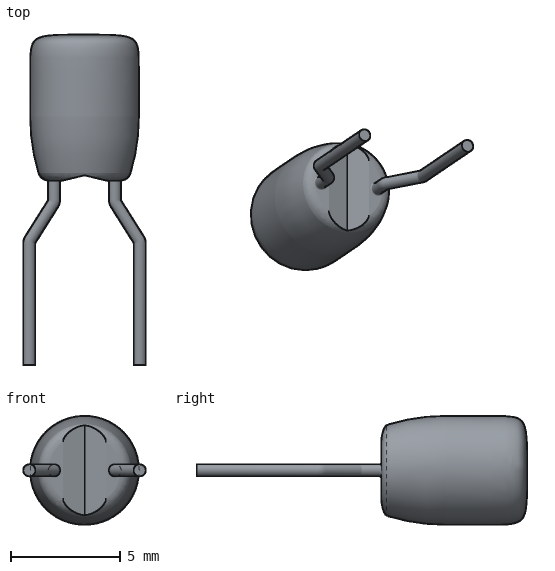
import cadquery as cq
import math


TOTAL_LENGTH = 15.16

BODY_LENGTH = 6.7
BODY_RADIUS = 2.5
STRAIGHT_START = 2.94
STRAIGHT_END = 5.08
BASE_RADIUS = 2.0
BASE_ROUNDING = 0.5

GROOVE_WIDTH = 1.97
GROOVE_DEPTH = 0.25

LEAD_DIAMETER = 0.56
ROOT_SPACING = 2.79
TIP_SPACING = 5.06
FIRST_BEND_Y = -0.9
SECOND_BEND_Y = -2.87
BEND_RADIUS = 0.29
ROOT_DEPTH = 0.76
ROOT_FILLET = 0.06

LEAD_RADIUS = LEAD_DIAMETER / 2
ROOT_X = ROOT_SPACING / 2
TIP_X = TIP_SPACING / 2
TIP_Y = BODY_LENGTH - TOTAL_LENGTH


def make_body():
    """Revolved barrel: rounded base rim, tapering arc, straight belt and smoothly rounded crown."""
    taper_drop = BODY_RADIUS - BASE_RADIUS
    taper_radius = (STRAIGHT_START**2 + taper_drop**2) / (2 * taper_drop)
    half_angle = math.asin(STRAIGHT_START / taper_radius) / 2
    taper_mid = (
        BODY_RADIUS - taper_radius * (1 - math.cos(half_angle)),
        STRAIGHT_START - taper_radius * math.sin(half_angle),
    )
    crown_corner = (BODY_RADIUS, BODY_LENGTH)
    barrel = (
        cq.Workplane("XY")
        .lineTo(BASE_RADIUS, 0)
        .threePointArc(taper_mid, (BODY_RADIUS, STRAIGHT_START))
        .lineTo(BODY_RADIUS, STRAIGHT_END)
        .bezier([crown_corner, crown_corner, (0, BODY_LENGTH)], includeCurrent=True)
        .close()
        .revolve(360, (0, 0), (0, 1))
    )
    return barrel.edges("<Y").fillet(BASE_ROUNDING)


def make_groove():
    """Triangular prism along Z that cuts the V across the base."""
    return (
        cq.Workplane("XY")
        .moveTo(-GROOVE_WIDTH / 2, 0)
        .lineTo(0, GROOVE_DEPTH)
        .lineTo(GROOVE_WIDTH / 2, 0)
        .close()
        .extrude(BODY_RADIUS, both=True)
    )


def make_lead():
    """Lead on the +X side: straight root, two opposite tight bends around a sloped run, straight tip."""
    first_pivot_x = ROOT_X + BEND_RADIUS
    second_pivot_x = TIP_X - BEND_RADIUS
    run_x = second_pivot_x - first_pivot_x
    run_y = FIRST_BEND_Y - SECOND_BEND_Y
    slope = math.atan2(run_x, run_y) + math.asin(2 * BEND_RADIUS / math.hypot(run_x, run_y))

    def first_bend(angle):
        return (
            first_pivot_x - BEND_RADIUS * math.cos(angle),
            FIRST_BEND_Y - BEND_RADIUS * math.sin(angle),
        )

    def second_bend(angle):
        return (
            second_pivot_x + BEND_RADIUS * math.cos(angle),
            SECOND_BEND_Y + BEND_RADIUS * math.sin(angle),
        )

    centreline = (
        cq.Workplane("XY")
        .moveTo(ROOT_X, ROOT_DEPTH)
        .lineTo(ROOT_X, FIRST_BEND_Y)
        .threePointArc(first_bend(slope / 2), first_bend(slope))
        .lineTo(*second_bend(slope))
        .threePointArc(second_bend(slope / 2), (TIP_X, SECOND_BEND_Y))
        .lineTo(TIP_X, TIP_Y)
    )
    section = cq.Workplane("XZ", origin=(ROOT_X, ROOT_DEPTH, 0)).circle(LEAD_RADIUS)
    return section.sweep(centreline)


def root_edges(x):
    """Selector for the circle where a lead meets the base."""
    reach = LEAD_RADIUS + ROOT_FILLET
    return cq.selectors.BoxSelector(
        (x - reach, -ROOT_FILLET, -reach),
        (x + reach, ROOT_FILLET, reach),
        boundingbox=True,
    )


lead = make_lead()
result = make_body().cut(make_groove()).union(lead).union(lead.mirror("YZ"))
for root_x in (-ROOT_X, ROOT_X):
    result = result.edges(root_edges(root_x)).fillet(ROOT_FILLET)